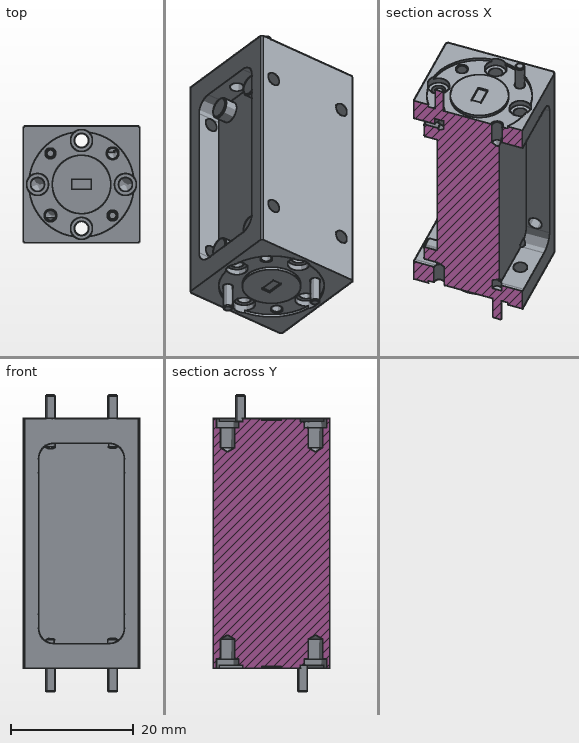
import cadquery as cq
import math

pin_span = 48.4
body_width = 19.05
body_length = 40.75
edge_chamfer = 0.3

flange_diameter = 17.2
land_diameter = 9.55
groove_depth = 0.5
waveguide_width = 3.1
waveguide_height = 1.65
waveguide_depth = 0.3

bolt_circle_radius = 7.15
screw_hole_diameter = 2.27
screw_hole_depth = 4.75
counterbore_diameter = 3.6
counterbore_depth = 1.5
pin_diameter = 1.55
pin_chamfer = 0.2
pin_insertion = 2.9
pin_hole_chamfer = 0.1
mating_hole_diameter = 1.75
mating_hole_chamfer = 0.15
pin_hole_depth = 4.65
drill_point_angle = 118.0

pocket_width = 13.95
pocket_length = 32.6
pocket_depth = 4.05
pocket_corner_radius = 2.4

side_hole_diameter = 2.27
side_hole_pitch_y = 14.05
side_hole_pitch_z = 25.35

head_diameter = 3.55
head_height = 2.27
head_chamfer = 0.2
head_pitch_x = 8.05
head_pitch_z = 27.95
head_offset_z = 0.25
head_sink = 0.25

half_width = body_width / 2
half_length = body_length / 2
pocket_floor = half_width - pocket_depth
pin_offset = bolt_circle_radius * math.sqrt(0.5)
groove_floor = half_length - groove_depth

screw_points = [
    (bolt_circle_radius, 0),
    (0, bolt_circle_radius),
    (-bolt_circle_radius, 0),
    (0, -bolt_circle_radius),
]
pin_points = [(-pin_offset, pin_offset), (pin_offset, -pin_offset)]
mating_hole_points = [(pin_offset, pin_offset), (-pin_offset, -pin_offset)]


def drilled_hole(diameter, depth):
    """Drill shape on the body axis from the top end, with a conical point below the depth."""
    radius = diameter / 2
    point_height = radius / math.tan(math.radians(drill_point_angle / 2))
    bottom = half_length - depth
    return (
        cq.Workplane("XZ")
        .moveTo(0, half_length)
        .lineTo(radius, half_length)
        .lineTo(radius, bottom)
        .lineTo(0, bottom - point_height)
        .close()
        .revolve(360, (0, 0, 0), (0, 1, 0))
    )


def cylinder_down(points, diameter, depth):
    """Vertical cylinders reaching from the top end down to a depth."""
    return (
        cq.Workplane("XY", origin=(0, 0, half_length))
        .pushPoints(points)
        .circle(diameter / 2)
        .extrude(-depth)
    )


def chamfered_hole(diameter, chamfer):
    """Pin hole drilled from the top end, with its mouth chamfered at the groove floor."""
    radius = diameter / 2
    mouth = cq.Solid.makeCone(
        radius, radius + chamfer, chamfer, pnt=cq.Vector(0, 0, groove_floor - chamfer)
    )
    return drilled_hole(diameter, pin_hole_depth).union(cq.Workplane(mouth))


def flange_cuts():
    """Everything removed from the top end."""
    groove = cylinder_down([(0, 0)], flange_diameter, groove_depth).cut(
        cylinder_down([(0, 0)], land_diameter, groove_depth)
    )
    waveguide = (
        cq.Workplane("XY", origin=(0, 0, half_length))
        .rect(waveguide_width, waveguide_height)
        .extrude(-waveguide_depth)
    )
    cuts = groove.union(waveguide)
    cuts = cuts.union(cylinder_down(screw_points, counterbore_diameter, counterbore_depth))
    for x, y in screw_points:
        cuts = cuts.union(drilled_hole(screw_hole_diameter, screw_hole_depth).translate((x, y, 0)))
    pin_hole = chamfered_hole(pin_diameter, pin_hole_chamfer)
    for x, y in pin_points:
        cuts = cuts.union(pin_hole.translate((x, y, 0)))
    mating_hole = chamfered_hole(mating_hole_diameter, mating_hole_chamfer)
    for x, y in mating_hole_points:
        cuts = cuts.union(mating_hole.translate((x, y, 0)))
    return cuts


def flange_pins():
    """Alignment pins pressed part way into the pin holes of the top end."""
    pin_bottom = half_length - pin_insertion
    return (
        cq.Workplane("XY", origin=(0, 0, pin_bottom))
        .pushPoints(pin_points)
        .circle(pin_diameter / 2)
        .extrude(pin_span / 2 - pin_bottom)
        .faces(">Z")
        .chamfer(pin_chamfer)
    )


def pocket():
    """Round-cornered pocket in the +Y face."""
    return (
        cq.Workplane("XZ", origin=(0, pocket_floor, 0))
        .rect(pocket_width, pocket_length)
        .extrude(-pocket_depth)
        .edges("|Y")
        .fillet(pocket_corner_radius)
    )


def screw_heads():
    """Heads standing on the floor of the +Y pocket."""
    return (
        cq.Workplane("XZ", origin=(0, pocket_floor - head_sink, head_offset_z))
        .rect(head_pitch_x, head_pitch_z, forConstruction=True)
        .vertices()
        .circle(head_diameter / 2)
        .extrude(-head_height - head_sink)
        .faces(">Y")
        .chamfer(head_chamfer)
    )


def side_holes():
    """Holes along X through both side walls."""
    return (
        cq.Workplane("YZ")
        .rect(side_hole_pitch_y, side_hole_pitch_z, forConstruction=True)
        .vertices()
        .circle(side_hole_diameter / 2)
        .extrude(half_width, both=True)
    )


def at_bottom(shape):
    """The same end feature turned over onto the bottom end."""
    return shape.rotate((0, 0, 0), (1, 0, 0), 180)


body = cq.Workplane("XY").box(body_width, body_width, body_length).edges("|Z").chamfer(edge_chamfer)
body = body.cut(pocket()).cut(pocket().mirror("XZ")).cut(side_holes())
body = body.cut(flange_cuts()).cut(at_bottom(flange_cuts()))
body = body.union(flange_pins()).union(at_bottom(flange_pins()))

result = body.union(screw_heads())